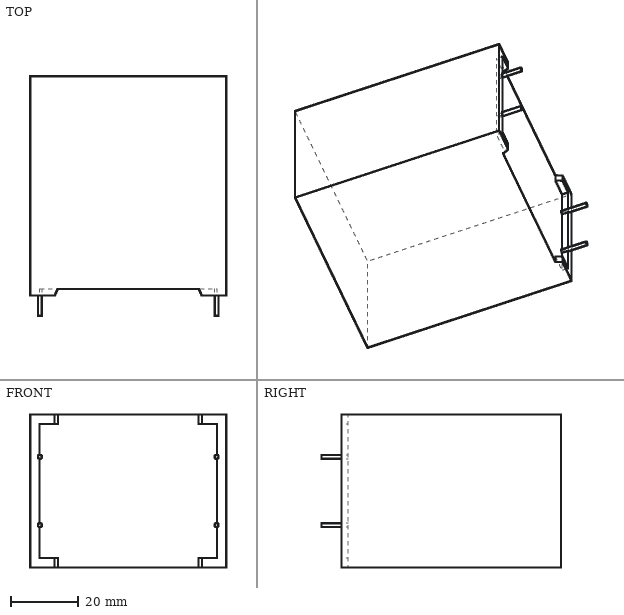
import cadquery as cq

CASE_WIDTH = 58.3
CASE_HEIGHT = 45.51
CASE_LENGTH = 65.3

RIM_THICKNESS = 2.8
RECESS_DEPTH = 1.96
NOTCH_WIDTH_AT_RIM = 43.7
NOTCH_WIDTH_AT_FLOOR = 41.9

PIN_DIAMETER = 1.2
PIN_SPACING_X = 52.5
PIN_SPACING_Z = 20.3
PIN_PROJECTION = 6.0
PIN_LENGTH = RECESS_DEPTH + PIN_PROJECTION


def make_block():
    """Plain rectangular case before the terminal end is shaped."""
    return cq.Workplane("XY").box(CASE_WIDTH, CASE_LENGTH, CASE_HEIGHT, centered=(True, False, True))


def make_recess():
    """Rectangular space inside the rim."""
    width = CASE_WIDTH - 2 * RIM_THICKNESS
    height = CASE_HEIGHT - 2 * RIM_THICKNESS
    return cq.Workplane("XY").box(width, RECESS_DEPTH, height, centered=(True, False, True))


def make_notch():
    """Slot with sloping ends, cut through the full height of the rim."""
    half_at_rim = NOTCH_WIDTH_AT_RIM / 2
    half_at_floor = NOTCH_WIDTH_AT_FLOOR / 2
    outline = [
        (-half_at_rim, 0),
        (half_at_rim, 0),
        (half_at_floor, RECESS_DEPTH),
        (-half_at_floor, RECESS_DEPTH),
    ]
    return cq.Workplane("XY").polyline(outline).close().extrude(CASE_HEIGHT / 2, both=True)


def make_pins():
    """Four pins at the corners of a rectangle, pointing along -Y from the recess floor."""
    return (
        cq.Workplane("XZ", origin=(0, RECESS_DEPTH, 0))
        .rect(PIN_SPACING_X, PIN_SPACING_Z, forConstruction=True)
        .vertices()
        .circle(PIN_DIAMETER / 2)
        .extrude(PIN_LENGTH)
    )


capacitor = make_block().cut(make_recess()).cut(make_notch()).union(make_pins())

result = cq.Compound.makeCompound([capacitor.val()])